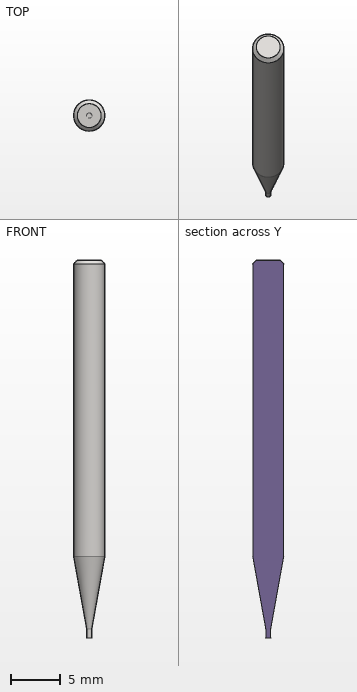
import cadquery as cq

total_length = 38.1
shank_radius = 3.15 / 2

tip_radius = 0.25
tip_length = 0.9
cone_top = 8.23

bevel_width = 0.4
bevel_height = 0.4

half_profile = (
    cq.Workplane("XZ")
    .moveTo(0, 0)
    .lineTo(tip_radius, 0)
    .lineTo(tip_radius, tip_length)
    .lineTo(shank_radius, cone_top)
    .lineTo(shank_radius, total_length - bevel_height)
    .lineTo(shank_radius - bevel_width, total_length)
    .lineTo(0, total_length)
    .close()
)

result = half_profile.revolve(360, (0, 0, 0), (0, 1, 0))